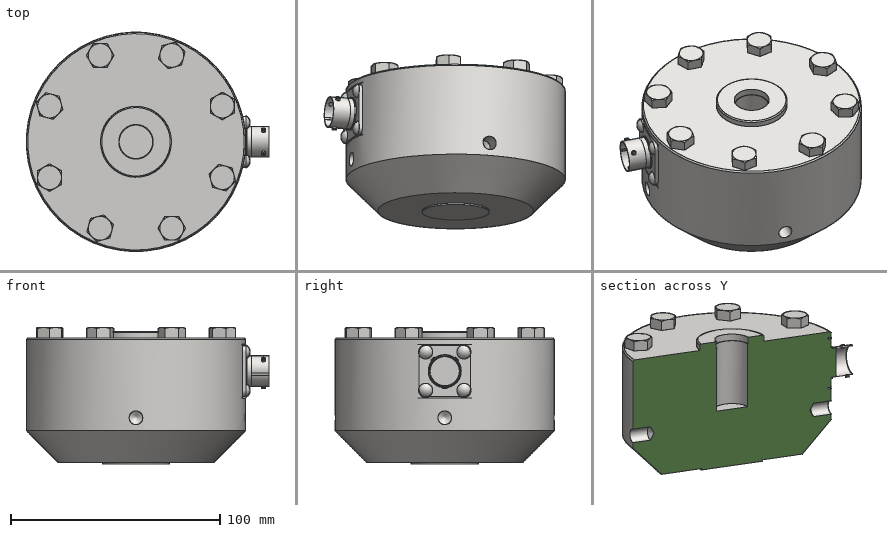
import cadquery as cq
import math

overall_length = 116.0

body_diameter = 104.7
body_radius = body_diameter / 2
body_top = 60.3
body_top_chamfer = 0.7
cone_top = 16.0
cone_bottom = 0.7
cone_bottom_radius = 37.1
pad_radius = 16.0

hub_radius = 16.9
hub_top = 63.4
hub_chamfer = 0.6
bore_radius = 8.0
bore_depth = 34.8
counterbore_radius = 8.2
counterbore_depth = 3.2

bolt_count = 8
bolt_sides = 6
bolt_circle_radius = 44.6
bolt_across_flats = 11.4
bolt_head_top = 65.3
bolt_first_angle = 22.5
bolt_corner_twist = 7.5
bolt_crown_angle = 30.0

side_hole_count = 4
side_hole_radius = 3.2
side_hole_height = 22.1
side_hole_depth = 9.3
drill_point_angle = 118.0

connector_height = 44.4
pocket_length = 25.6
pocket_floor = 50.8
flange_size = 24.3
flange_thickness = 1.6
flange_corner_radius = 2.9
collar_radius = 7.9
collar_thickness = 0.6
barrel_diameter = 14.7
barrel_radius = barrel_diameter / 2
barrel_end = overall_length - body_radius
socket_radius = 7.0
socket_floor = 55.1
keyway_width = 1.0
keyway_drop = 1.5
keyway_reach = 7.1
flange_face = pocket_floor + flange_thickness

screw_spacing = 18.3
screw_head_radius = 3.4
screw_head_height = 2.1

pin_angles = (45.0, 135.0, 270.0)
pin_radius = 1.0
pin_recess_radius = 0.6
pin_recess_depth = 0.5
pin_tip_radius = 8.3
pin_position = 60.9


def upright_cylinder(radius, bottom, top):
    return cq.Workplane("XY").workplane(offset=bottom).circle(radius).extrude(top - bottom)


def connector_plane(x):
    """Plane facing +X on the connector axis; its local axes are Y and Z."""
    return cq.Workplane("YZ", origin=(x, 0, connector_height))


def make_body():
    profile = [
        (0, cone_bottom),
        (cone_bottom_radius, cone_bottom),
        (body_radius, cone_top),
        (body_radius, body_top - body_top_chamfer),
        (body_radius - body_top_chamfer, body_top),
        (0, body_top),
    ]
    drum = cq.Workplane("XZ").polyline(profile).close().revolve(360, (0, 0), (0, 1))
    hub = upright_cylinder(hub_radius, cone_top, hub_top).faces(">Z").chamfer(hub_chamfer)
    pad = upright_cylinder(pad_radius, 0, cone_top)
    return drum.union(hub).union(pad)


def make_hub_hole():
    bore = upright_cylinder(bore_radius, hub_top - bore_depth, hub_top)
    counterbore = upright_cylinder(counterbore_radius, hub_top - counterbore_depth, hub_top)
    return bore.union(counterbore)


def make_bolt_head():
    """Hexagonal head, its corners trimmed by a cone, with one corner along +X."""
    crown_radius = bolt_across_flats / 2
    corner_radius = crown_radius / math.cos(math.pi / bolt_sides)
    crown_drop = (corner_radius - crown_radius) * math.tan(math.radians(bolt_crown_angle))
    hexagon = (
        cq.Workplane("XY")
        .workplane(offset=body_top)
        .polygon(bolt_sides, 2 * corner_radius)
        .extrude(bolt_head_top - body_top)
    )
    crown_profile = [
        (0, body_top),
        (corner_radius, body_top),
        (corner_radius, bolt_head_top - crown_drop),
        (crown_radius, bolt_head_top),
        (0, bolt_head_top),
    ]
    crown = cq.Workplane("XZ").polyline(crown_profile).close().revolve(360, (0, 0), (0, 1))
    return hexagon.intersect(crown)


def make_side_hole():
    """Drilled hole with a conical end, entering the drum wall on the +X side."""
    shoulder = body_radius - side_hole_depth
    tip = shoulder - side_hole_radius / math.tan(math.radians(drill_point_angle / 2))
    profile = [
        (tip, 0),
        (shoulder, side_hole_radius),
        (body_radius, side_hole_radius),
        (body_radius, 0),
    ]
    hole = cq.Workplane("XY").polyline(profile).close().revolve(360, (0, 0), (1, 0))
    return hole.translate((0, 0, side_hole_height))


def make_pocket():
    depth = body_radius - pocket_floor
    return connector_plane(pocket_floor).rect(2 * body_radius, pocket_length).extrude(depth)


def make_screw_heads():
    """Four spherical caps on the flange face."""
    sphere_radius = (screw_head_radius**2 + screw_head_height**2) / (2 * screw_head_height)
    sphere_center = flange_face + screw_head_height - sphere_radius
    corners = connector_plane(sphere_center).rect(screw_spacing, screw_spacing, forConstruction=True)
    spheres = corners.vertices().sphere(sphere_radius)
    outside = connector_plane(flange_face).rect(flange_size * 2, flange_size * 2).extrude(sphere_radius)
    return spheres.intersect(outside)


def make_connector():
    connector = (
        connector_plane(pocket_floor)
        .rect(flange_size, flange_size)
        .extrude(flange_thickness)
        .edges("|X")
        .fillet(flange_corner_radius)
    )
    collar = connector_plane(flange_face).circle(collar_radius).extrude(collar_thickness)
    barrel = connector_plane(flange_face).circle(barrel_radius).extrude(barrel_end - flange_face)
    connector = connector.union(collar).union(barrel).union(make_screw_heads())
    pin_start = (socket_radius + barrel_radius) / 2
    for angle in pin_angles:
        pin = (
            cq.Workplane("XZ", origin=(pin_position, 0, 0))
            .workplane(offset=-pin_tip_radius)
            .circle(pin_radius)
            .extrude(pin_tip_radius - pin_start)
            .faces(">Y")
            .workplane()
            .circle(pin_recess_radius)
            .cutBlind(-pin_recess_depth)
            .rotate((0, 0, 0), (1, 0, 0), angle)
            .translate((0, 0, connector_height))
        )
        connector = connector.union(pin)
    socket = connector_plane(socket_floor).circle(socket_radius).extrude(barrel_end - socket_floor)
    keyway = (
        connector_plane(socket_floor)
        .center(-keyway_reach / 2, -keyway_drop)
        .rect(keyway_reach, keyway_width)
        .extrude(barrel_end - socket_floor)
    )
    return connector.cut(socket).cut(keyway)


result = make_body().cut(make_hub_hole())

bolt_head = make_bolt_head().rotate((0, 0, 0), (0, 0, 1), bolt_corner_twist)
bolt_head = bolt_head.translate((bolt_circle_radius, 0, 0))
for index in range(bolt_count):
    bolt_angle = bolt_first_angle + index * 360 / bolt_count
    result = result.union(bolt_head.rotate((0, 0, 0), (0, 0, 1), bolt_angle))

side_hole = make_side_hole()
for index in range(side_hole_count):
    result = result.cut(side_hole.rotate((0, 0, 0), (0, 0, 1), index * 360 / side_hole_count))

result = result.cut(make_pocket()).union(make_connector())